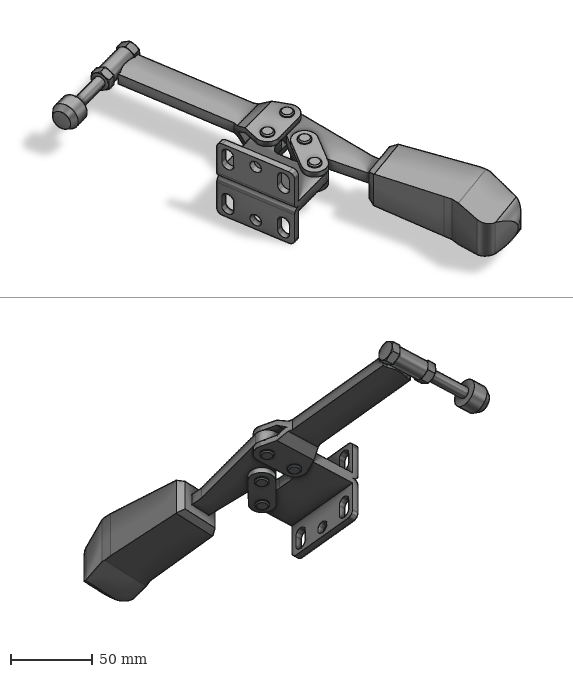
import cadquery as cq
import math


half_thickness = 4.0
plate_thickness = 4.0
outer_face = half_thickness + plate_thickness

pivot_reach = 20.0
lug_radius = 8.57
arm_base_pivot = (-pivot_reach, 44.5)
arm_lever_pivot = (-pivot_reach, 66.8)
link_lever_pivot = (2.7, 51.5)
link_base_pivot = (pivot_reach, 36.0)

rivet_radius = 4.5
rivet_height = 1.65
rivet_chamfer = 1.0

base_length = 2 * (pivot_reach + lug_radius)
flange_width = 58.0
flange_thickness = 4.5
flange_corner = 4.2
bend_radius = half_thickness
notch_half_width = pivot_reach - lug_radius
notch_floor = 35.2
notch_left_corner = 5.7
notch_right_corner = 8.5
slot_length = 16.0
slot_width = 8.7
slot_x = 20.5
slot_z = 18.0
hole_diameter = 8.5
hole_z = 21.7

arm_end_x = -130.0
arm_bottom = 45.0
arm_top = 67.5
taper_x = -44.8
fork_bend_x = -41.8
fork_spread = 7.8
fork_crotch_x = -40.3

spindle_x = -138.0
sleeve_bottom = 43.3
sleeve_top = 66.2
sleeve_radius = 6.47
weld_half_width = 8.0
weld_tip_x = -131.7
rod_radius = 4.0
nut_flats = 2 * sleeve_radius
nut_height = 6.3
nut_bevel_height = 0.5
nut_bevel_depth = 1.2
cushion_radius = 9.3
cushion_tip_radius = 6.5
cushion_top = 8.0
cushion_cone_top = -2.0
cushion_bottom = -6.5

lever_bend = (44.0, 65.0)
lever_tang_top = 65.3
lever_tang_bottom = 50.2
lever_lower_start = (18.0, 47.2)
lever_heel = (-12.0, 53.5)
lever_end_x = 84.2

grip_front = (53.2, 57.7)
grip_tilt = 4.8
grip_half_width = 16.8
grip_length = 100.2
grip_heel = (144.0, 37.5)
grip_heel_radius = 8.5


def tangent_point(start, centre, radius, side):
    """Point where a line from start touches a circle; side is +1 for the left, -1 for the right."""
    dx = centre[0] - start[0]
    dy = centre[1] - start[1]
    swing = side * math.asin(radius / math.hypot(dx, dy))
    angle = math.atan2(dy, dx) + swing + side * math.pi / 2
    return (centre[0] + radius * math.cos(angle), centre[1] + radius * math.sin(angle))


def lug_offset(start, end, side):
    """Lug-radius offset square to the line from start to end; side +1 is to its left."""
    dx = end[0] - start[0]
    dy = end[1] - start[1]
    scale = side * lug_radius / math.hypot(dx, dy)
    return (-dy * scale, dx * scale)


def shifted(point, offset):
    return (point[0] + offset[0], point[1] + offset[1])


def plate(outline, thickness_half):
    """Close an XY outline and extrude it to both sides of Z = 0."""
    return outline.close().extrude(thickness_half, both=True)


def rivet_heads(pivots, side):
    """Chamfered rivet heads on the outer plate face; side is +1 for the upper face, -1 for the lower."""
    heads = (
        cq.Workplane("XY", origin=(0, 0, outer_face))
        .pushPoints(pivots)
        .circle(rivet_radius)
        .extrude(rivet_height)
        .faces(">Z")
        .chamfer(rivet_chamfer)
    )
    if side < 0:
        heads = heads.mirror("XY")
    return heads


def edge_through(point):
    """Selector for the edge parallel to Z at an XY point, on a body symmetric about Z = 0."""
    return cq.selectors.NearestToPointSelector((*point, 0))


def make_base():
    """Flanged base: an upright web with two rounded pivot lugs and a notch between them."""
    half_length = base_length / 2
    left_x, left_y = arm_base_pivot
    right_x, right_y = link_base_pivot
    web = plate(
        cq.Workplane("XY")
        .moveTo(-half_length, 0)
        .lineTo(half_length, 0)
        .lineTo(half_length, right_y)
        .threePointArc((right_x, right_y + lug_radius), (notch_half_width, right_y))
        .lineTo(notch_half_width, notch_floor)
        .lineTo(-notch_half_width, notch_floor)
        .lineTo(-notch_half_width, left_y)
        .threePointArc((left_x, left_y + lug_radius), (-half_length, left_y)),
        half_thickness,
    )
    web = web.edges("|Z").edges(edge_through((-notch_half_width, notch_floor))).fillet(notch_left_corner)
    web = web.edges("|Z").edges(edge_through((notch_half_width, notch_floor))).fillet(notch_right_corner)

    flange = (
        cq.Workplane("XZ")
        .rect(base_length, flange_width)
        .extrude(-flange_thickness)
        .edges("|Y")
        .fillet(flange_corner)
    )
    slots = (
        cq.Workplane("XZ")
        .rect(2 * slot_x, 2 * slot_z, forConstruction=True)
        .vertices()
        .slot2D(slot_length, slot_width, 90)
        .extrude(-flange_thickness)
    )
    holes = (
        cq.Workplane("XZ")
        .pushPoints([(0, hole_z), (0, -hole_z)])
        .circle(hole_diameter / 2)
        .extrude(-flange_thickness)
    )

    groove = (
        cq.Workplane("YZ", origin=(-half_length, 0, 0))
        .moveTo(0, bend_radius)
        .radiusArc((bend_radius, 0), -bend_radius)
        .radiusArc((0, -bend_radius), -bend_radius)
        .close()
        .extrude(base_length)
    )
    return web.union(flange).cut(slots).cut(holes).cut(groove)


def make_arm():
    """Forked arm with its rivet heads and the welded sleeve that carries the spindle."""
    upper_x, upper_y = arm_lever_pivot
    lower_x, lower_y = arm_base_pivot
    upper_start = (taper_x, arm_top)
    lower_start = (taper_x, arm_bottom)
    upper_tangent = tangent_point(upper_start, arm_lever_pivot, lug_radius, 1)
    lower_tangent = tangent_point(lower_start, arm_base_pivot, lug_radius, -1)
    diagonal = lug_radius * math.sqrt(0.5)
    blank = plate(
        cq.Workplane("XY")
        .moveTo(arm_end_x, arm_bottom)
        .lineTo(*lower_start)
        .lineTo(*lower_tangent)
        .threePointArc((lower_x + diagonal, lower_y - diagonal), (lower_x + lug_radius, lower_y))
        .lineTo(upper_x + lug_radius, upper_y)
        .threePointArc((upper_x + diagonal, upper_y + diagonal), upper_tangent)
        .lineTo(*upper_start)
        .lineTo(arm_end_x, arm_top),
        outer_face,
    )

    tine_x = fork_bend_x + fork_spread
    tine_end_x = upper_x + lug_radius
    profile = (
        cq.Workplane("XZ")
        .moveTo(arm_end_x, half_thickness)
        .lineTo(fork_bend_x, half_thickness)
        .lineTo(tine_x, outer_face)
        .lineTo(tine_end_x, outer_face)
        .lineTo(tine_end_x, half_thickness)
        .lineTo(tine_x, half_thickness)
        .lineTo(fork_crotch_x, 0)
        .lineTo(tine_x, -half_thickness)
        .lineTo(tine_end_x, -half_thickness)
        .lineTo(tine_end_x, -outer_face)
        .lineTo(tine_x, -outer_face)
        .lineTo(fork_bend_x, -half_thickness)
        .lineTo(arm_end_x, -half_thickness)
        .close()
        .extrude(-arm_top - lug_radius * 2)
    )
    arm = blank.intersect(profile)

    sleeve = (
        cq.Workplane("XZ", origin=(spindle_x, sleeve_bottom, 0))
        .circle(sleeve_radius)
        .extrude(sleeve_bottom - sleeve_top)
    )
    arm_middle = (arm_bottom + arm_top) / 2
    weld = plate(
        cq.Workplane("XY")
        .moveTo(arm_end_x, arm_middle - weld_half_width)
        .lineTo(arm_end_x, arm_middle + weld_half_width)
        .threePointArc((weld_tip_x, arm_middle), (arm_end_x, arm_middle - weld_half_width)),
        half_thickness,
    )
    bore = (
        cq.Workplane("XZ", origin=(spindle_x, sleeve_bottom, 0))
        .circle(rod_radius)
        .extrude(sleeve_bottom - sleeve_top)
    )
    arm = arm.union(weld).union(sleeve).cut(bore)

    pivots = [arm_lever_pivot, arm_base_pivot]
    for side in (1, -1):
        arm = arm.union(rivet_heads(pivots, side))
    return arm


def make_link(side):
    """Link plate with its rivet heads; side is +1 for the upper link, -1 for the lower one."""
    left = lug_offset(link_lever_pivot, link_base_pivot, 1)
    right = lug_offset(link_lever_pivot, link_base_pivot, -1)
    along = (left[1], -left[0])
    link = (
        cq.Workplane("XY", origin=(0, 0, half_thickness))
        .moveTo(*shifted(link_lever_pivot, left))
        .lineTo(*shifted(link_base_pivot, left))
        .threePointArc(shifted(link_base_pivot, along), shifted(link_base_pivot, right))
        .lineTo(*shifted(link_lever_pivot, right))
        .threePointArc(
            (link_lever_pivot[0] - along[0], link_lever_pivot[1] - along[1]),
            shifted(link_lever_pivot, left),
        )
        .close()
        .extrude(plate_thickness)
    )
    if side < 0:
        link = link.mirror("XY")
    return link.union(rivet_heads([link_lever_pivot, link_base_pivot], side))


def make_lever():
    """Handle lever between the fork tines and the links, ending in a tang inside the grip."""
    top_tangent = tangent_point(lever_bend, arm_lever_pivot, lug_radius, -1)
    heel_tangent = tangent_point(lever_heel, arm_lever_pivot, lug_radius, 1)
    left_tangent = tangent_point(lever_heel, link_lever_pivot, lug_radius, -1)
    right_tangent = tangent_point(lever_lower_start, link_lever_pivot, lug_radius, 1)
    link_x, link_y = link_lever_pivot
    arm_x, arm_y = arm_lever_pivot
    return plate(
        cq.Workplane("XY")
        .moveTo(*top_tangent)
        .lineTo(*lever_bend)
        .lineTo(lever_end_x, lever_tang_top)
        .lineTo(lever_end_x, lever_tang_bottom)
        .lineTo(grip_front[0], lever_tang_bottom)
        .lineTo(*lever_lower_start)
        .lineTo(*right_tangent)
        .threePointArc((link_x, link_y - lug_radius), left_tangent)
        .lineTo(*lever_heel)
        .lineTo(*heel_tangent)
        .threePointArc((arm_x - lug_radius, arm_y), top_tangent),
        half_thickness,
    )


def make_grip(lever):
    """Moulded grip: a side outline and a width outline crossed, with a recess for the lever."""
    side_outline = plate(
        cq.Workplane("XY")
        .moveTo(52.0, 71.3)
        .lineTo(56.5, 74.3)
        .lineTo(112.2, 80.0)
        .lineTo(120.3, 80.0)
        .lineTo(143.8, 72.5)
        .threePointArc((150.7, 68.0), (153.5, 60.5))
        .lineTo(*grip_heel)
        .lineTo(115.0, 45.0)
        .lineTo(109.2, 44.8)
        .lineTo(59.0, 42.5)
        .lineTo(54.0, 44.8),
        grip_half_width,
    )
    side_outline = side_outline.edges("|Z").edges(edge_through(grip_heel)).fillet(grip_heel_radius)

    right_half = [(0, 10.8), (5.0, 13.0), (66.0, grip_half_width), (92.3, 12.5)]
    left_half = [(along, -half_width) for along, half_width in reversed(right_half)]
    width_outline = (
        cq.Workplane("XZ")
        .polyline(right_half)
        .threePointArc((grip_length, 0), left_half[0])
        .polyline(left_half[1:], includeCurrent=True)
        .close()
        .extrude(grip_length, both=True)
        .rotate((0, 0, 0), (0, 0, 1), grip_tilt)
        .translate((*grip_front, 0))
    )
    return side_outline.intersect(width_outline).cut(lever)


def make_nut():
    """Hex nut hanging below Y = 0, with two flats facing along X and its lower end bevelled."""
    corner_radius = nut_flats / 2 / math.cos(math.pi / 6)
    hexagon = (
        cq.Workplane("XZ")
        .polygon(6, 2 * corner_radius)
        .extrude(nut_height)
        .rotate((0, 0, 0), (0, 1, 0), 30)
    )
    bevelled_round = (
        cq.Workplane("XZ")
        .circle(corner_radius)
        .extrude(nut_height)
        .faces("<Y")
        .chamfer(nut_bevel_height, nut_bevel_depth)
    )
    return hexagon.intersect(bevelled_round)


def make_spindle():
    """Clamping spindle: a rod with a nut at each end of the sleeve and a conical-tipped cushion."""
    nut_top = sleeve_top + nut_height
    rod = (
        cq.Workplane("XZ", origin=(spindle_x, cushion_top, 0))
        .circle(rod_radius)
        .extrude(cushion_top - nut_top)
    )
    cushion = (
        cq.Workplane("XY")
        .moveTo(0, cushion_bottom)
        .lineTo(cushion_tip_radius, cushion_bottom)
        .lineTo(cushion_radius, cushion_cone_top)
        .lineTo(cushion_radius, cushion_top)
        .lineTo(0, cushion_top)
        .close()
        .revolve(360, (0, 0, 0), (0, 1, 0))
        .translate((spindle_x, 0, 0))
    )
    spindle = rod.union(cushion)
    lower_nut = make_nut().translate((spindle_x, sleeve_bottom, 0))
    upper_nut = make_nut().mirror("XZ").translate((spindle_x, sleeve_top, 0))
    return spindle.union(lower_nut).union(upper_nut)


base = make_base()
arm = make_arm()
links = [make_link(side) for side in (1, -1)]
lever = make_lever()
grip = make_grip(lever)
spindle = make_spindle()

result = cq.Compound.makeCompound(
    [base.val(), arm.val(), lever.val(), grip.val(), spindle.val()] + [link.val() for link in links]
)